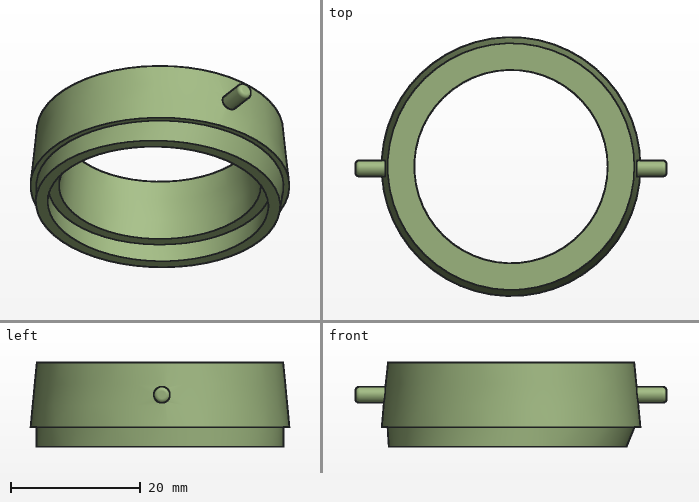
import cadquery as cq

total_height = 13.0
skirt_height = 3.0
collar_height = total_height - skirt_height
collar_base_radius = 19.95
collar_top_radius = 19.0
bore_top_radius = 14.9
bore_base_radius = 15.55

skirt_radius = 19.05
skirt_left_reach = 18.85
skirt_right_reach = 17.8
skirt_wall = 1.8

pin_span = 48.0
pin_diameter = 2.5
pin_end_round = 0.6
pin_height = skirt_height + collar_height / 2
pin_offset_y = -0.3
pin_root_x = (collar_top_radius + bore_base_radius) / 2


def make_collar():
    """Revolve the wall between the conical outside and the conical bore."""
    wall = [
        (bore_base_radius, skirt_height),
        (collar_base_radius, skirt_height),
        (collar_top_radius, total_height),
        (bore_top_radius, total_height),
    ]
    return cq.Workplane("XZ").polyline(wall).close().revolve(360, (0, 0), (0, 1))


def skirt_body(inset):
    """Loft from the bottom ellipse to the circle, shrunk inward by inset."""
    semi_x = (skirt_left_reach + skirt_right_reach) / 2 - inset
    center_x = (skirt_right_reach - skirt_left_reach) / 2
    radius = skirt_radius - inset
    return (
        cq.Workplane("XY")
        .center(center_x, 0)
        .ellipse(radius, semi_x, rotation_angle=90)
        .workplane(offset=skirt_height)
        .center(-center_x, 0)
        .ellipse(radius, radius, rotation_angle=90)
        .loft(ruled=True)
    )


def make_pin(side):
    """Rounded-end pin reaching out from the wall; side is -1 or 1 along X."""
    length = pin_span / 2 - pin_root_x
    return (
        cq.Workplane("YZ", origin=(side * pin_root_x, pin_offset_y, pin_height))
        .circle(pin_diameter / 2)
        .extrude(side * length)
        .faces(">X" if side > 0 else "<X")
        .edges()
        .fillet(pin_end_round)
    )


skirt = skirt_body(0).cut(skirt_body(skirt_wall))
result = make_collar().union(skirt)
for side in (-1, 1):
    result = result.union(make_pin(side))